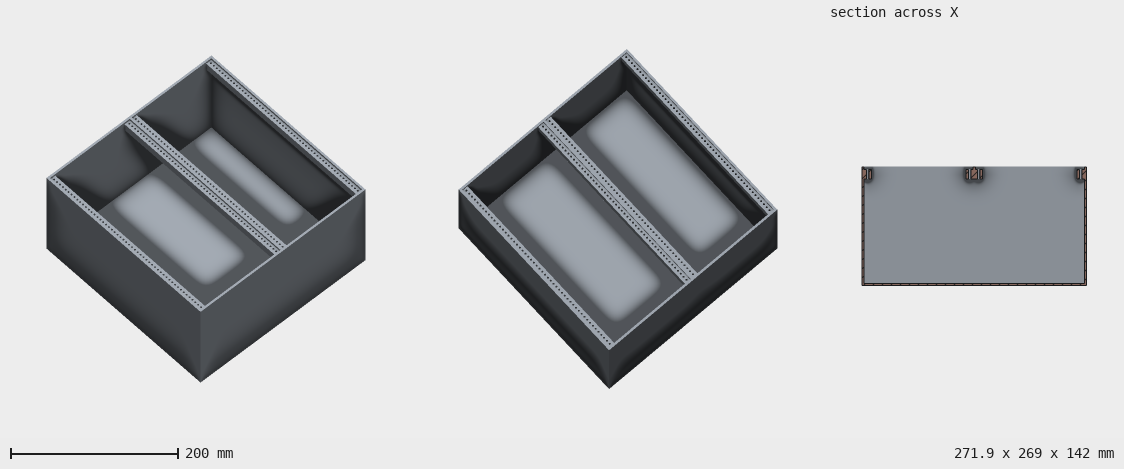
import cadquery as cq

case_width = 271.9
case_depth = 269.0
case_height = 142.0

wall = 3.0
row_count = 2
row_depth = (case_depth - (row_count + 1) * wall) / row_count
floor_thickness = 3.0

rail_width = 8.5
rail_height = 11.5
rail_recess = 3.0

hole_diameter = 2.5
hole_pitch = 5.08
hole_count = 52
hole_inset = 3.75

inner_width = case_width - 2 * wall
inner_depth = case_depth - 2 * wall
row_pitch = row_depth + wall
row_centers = [(row - (row_count - 1) / 2) * row_pitch for row in range(row_count)]
rail_top = case_height - rail_recess


def make_shell():
    """Open-topped box with a beam between neighbouring rows, level with the rail undersides."""
    outside = cq.Workplane("XY").box(case_width, case_depth, case_height, centered=(True, True, False))
    cavity_floor = cq.Workplane("XY", origin=(0, 0, floor_thickness))
    cavity = cavity_floor.rect(inner_width, inner_depth).extrude(case_height - floor_thickness)
    shell = outside.cut(cavity)
    for lower_row, upper_row in zip(row_centers, row_centers[1:]):
        beam = (
            cq.Workplane("XY", origin=(0, (lower_row + upper_row) / 2, case_height))
            .rect(inner_width, wall)
            .extrude(-(rail_recess + rail_height))
        )
        shell = shell.union(beam)
    return shell


def make_rail(wall_y, inward):
    """Rail against the wall or beam face at wall_y; inward (+1 or -1) points into the row along Y."""
    rail = (
        cq.Workplane("XY", origin=(0, wall_y + inward * rail_width / 2, rail_top))
        .rect(inner_width, rail_width)
        .extrude(-rail_height)
    )
    holes = (
        cq.Workplane("XY", origin=(0, wall_y + inward * hole_inset, rail_top))
        .rarray(hole_pitch, 1, hole_count, 1)
        .circle(hole_diameter / 2)
        .extrude(-rail_height)
    )
    return rail.cut(holes)


result = make_shell()
for center in row_centers:
    for side in (-1, 1):
        result = result.union(make_rail(center + side * row_depth / 2, -side))